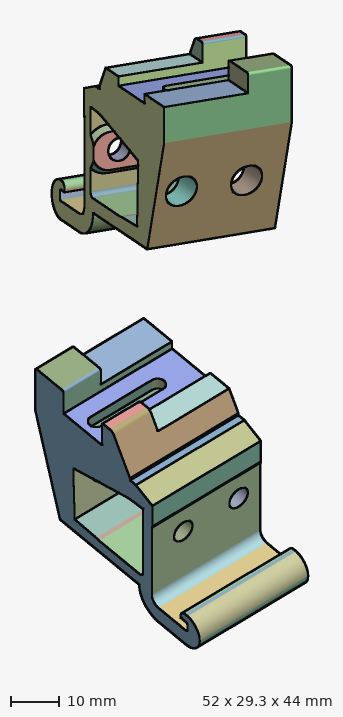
import cadquery as cq
import math

length = 52.0
depth = 29.3
height = 44.0

hook_lower_radius = 4.35
hook_top_z = 8.6
hook_flat_start_x = 3.75
hook_flat_end_x = 4.6
lip_radius = 1.45
lip_underside_z = 6.5
hook_inner_x = 3.95
hook_floor_z = 4.05
hook_corner_fillet = 0.3

wall_x = 15.15
base_z = 6.2
bend_inner_radius = base_z - hook_floor_z
bend_outer_radius = base_z
bend_x = wall_x - bend_inner_radius
ledge_offset = 0.15
ledge_z = 25.85
upper_wall_top_z = 32.05

shoulder_x = 20.2
shoulder_z = 34.1
ramp_x = 22.05
ramp_z = 34.7
ramp_top_x = 27.55
ramp_fillet = 1.35

channel_left_x = 30.95
channel_right_x = 43.0
channel_z = 37.6
lug_fillet = 0.5
lug_depth = 10.05
lug_step_z = 39.6

back_face_z = 31.7
base_end_x = 44.2

slot_width = 3.45
slot_length = 19.95
slot_rear_gap = 1.9
slot_depth = 2.85

cavity_left_x = 18.0
cavity_top_z = 28.85
ceiling_curve_start_x = 19.0
ceiling_curve_end_x = 24.95
ceiling_curve_end_z = 28.0
cavity_right_top_x = 40.0
cavity_right_top_z = 24.15
cavity_right_bottom_x = 39.5
cavity_right_bottom_z = 9.7
cavity_floor_z = 9.35
floor_step_start_x = 31.7
floor_step_end_x = 32.65
floor_step_height = 0.15
cavity_top_fillet = 0.4
cavity_floor_fillet = 1.05

hole_diameter = 5.0
access_diameter = 7.0
hole_z = 19.2
first_hole_y = 5.9
hole_pitch = 14.9
hole_ys = [first_hole_y, first_hole_y + hole_pitch]
cavity_middle_x = (cavity_left_x + cavity_right_bottom_x) / 2

pad_base_radius = 5.3
pad_top_radius = 4.15
pad_height = 1.45
pad_front_y = 3.85


def fillet_edge(solid, x, z, radius):
    """Round the Y-direction edge that passes through (x, z)."""
    reach = 0.05
    box = cq.selectors.BoxSelector((x - reach, -reach, z - reach), (x + reach, depth + reach, z + reach))
    return solid.edges("|Y").edges(box).fillet(radius)


def make_body():
    """Hook, wall and lugs as one extrusion along Y."""
    hook_rise = hook_top_z - hook_lower_radius
    hook_upper_radius = (hook_flat_start_x**2 + hook_rise**2) / (2 * hook_flat_start_x)
    lip_x = hook_flat_end_x + lip_radius
    upper_wall_x = wall_x - ledge_offset
    solid = (
        cq.Workplane("XZ")
        .moveTo(hook_lower_radius, 0)
        .radiusArc((0, hook_lower_radius), hook_lower_radius)
        .radiusArc((hook_flat_start_x, hook_top_z), hook_upper_radius)
        .lineTo(hook_flat_end_x, hook_top_z)
        .radiusArc((lip_x, hook_top_z - lip_radius), lip_radius)
        .lineTo(lip_x, lip_underside_z)
        .lineTo(hook_inner_x, lip_underside_z)
        .lineTo(hook_inner_x, hook_floor_z)
        .lineTo(bend_x, hook_floor_z)
        .radiusArc((wall_x, base_z), -bend_inner_radius)
        .lineTo(wall_x, ledge_z)
        .lineTo(upper_wall_x, ledge_z)
        .lineTo(upper_wall_x, upper_wall_top_z)
        .lineTo(shoulder_x, shoulder_z)
        .lineTo(ramp_x, shoulder_z)
        .lineTo(ramp_x, ramp_z)
        .lineTo(ramp_top_x, height)
        .lineTo(channel_left_x, height)
        .lineTo(channel_left_x, channel_z)
        .lineTo(channel_right_x, channel_z)
        .lineTo(channel_right_x, height)
        .lineTo(length, height)
        .lineTo(length, back_face_z)
        .lineTo(base_end_x, base_z)
        .lineTo(bend_x + bend_outer_radius, base_z)
        .radiusArc((bend_x, 0), bend_outer_radius)
        .close()
        .extrude(-depth)
    )
    for z in (lip_underside_z, hook_floor_z):
        solid = fillet_edge(solid, hook_inner_x, z, hook_corner_fillet)
    solid = fillet_edge(solid, ramp_top_x, height, ramp_fillet)
    for x in (channel_left_x, channel_right_x, length):
        solid = fillet_edge(solid, x, height, lug_fillet)
    return solid


def make_cavity():
    """Through opening with a curved, falling ceiling and a slightly stepped floor."""
    solid = (
        cq.Workplane("XZ")
        .moveTo(cavity_left_x, cavity_top_z)
        .lineTo(ceiling_curve_start_x, cavity_top_z)
        .tangentArcPoint((ceiling_curve_end_x, ceiling_curve_end_z), relative=False)
        .lineTo(cavity_right_top_x, cavity_right_top_z)
        .lineTo(cavity_right_bottom_x, cavity_right_bottom_z)
        .lineTo(floor_step_end_x, cavity_floor_z + floor_step_height)
        .lineTo(floor_step_start_x, cavity_floor_z)
        .lineTo(cavity_left_x, cavity_floor_z)
        .close()
        .extrude(-depth)
    )
    solid = fillet_edge(solid, cavity_right_top_x, cavity_right_top_z, cavity_top_fillet)
    return fillet_edge(solid, cavity_left_x, cavity_floor_z, cavity_floor_fillet)


def make_lug_step():
    """Block that lowers the lugs over the front part of the depth."""
    return cq.Workplane("XY", origin=(0, 0, lug_step_z)).box(
        length, depth - lug_depth, height - lug_step_z, centered=False
    )


def make_slot():
    slot_x = (channel_left_x + channel_right_x) / 2
    slot_y = depth - slot_rear_gap - slot_length / 2
    return (
        cq.Workplane("XY", origin=(slot_x, slot_y, channel_z))
        .slot2D(slot_length, slot_width, 90)
        .extrude(-slot_depth)
    )


def make_pad():
    """Tapered oblong centred on the hole pair and cut off flush with the front face."""
    middle_y = sum(hole_ys) / 2
    pad_length = 2 * (middle_y - pad_front_y + pad_base_radius)
    taper = math.degrees(math.atan((pad_base_radius - pad_top_radius) / pad_height))
    oblong = (
        cq.Workplane("YZ", origin=(cavity_left_x, middle_y, hole_z))
        .slot2D(pad_length, 2 * pad_base_radius)
        .extrude(pad_height, taper=taper)
    )
    return oblong.intersect(cq.Workplane("XY").box(length, depth, height, centered=False))


def make_holes(diameter, start_x, end_x):
    return (
        cq.Workplane("YZ", origin=(start_x, 0, hole_z))
        .pushPoints([(y, 0) for y in hole_ys])
        .circle(diameter / 2)
        .extrude(end_x - start_x)
    )


result = (
    make_body()
    .cut(make_cavity())
    .cut(make_lug_step())
    .cut(make_slot())
    .union(make_pad())
    .cut(make_holes(hole_diameter, 0, cavity_middle_x))
    .cut(make_holes(access_diameter, cavity_middle_x, length))
)